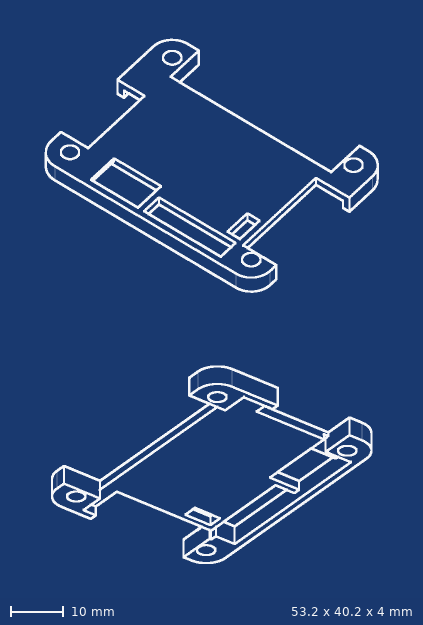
import cadquery as cq

length = 53.2
width = 40.2
height = 4.0
plate_thickness = 2.0
wall = 1.6

hole_diameter = 3.5
hole_x = 22.0
hole_y = 15.5
corner_radius = length / 2 - hole_x

left, right = -length / 2, length / 2
front, back = -width / 2, width / 2
inner_left, inner_right = left + wall, right - wall
inner_front = front + wall

back_notch_left, back_notch_right = -19.2, 19.8
back_notch_y = 11.5
left_notch_x = -20.0
left_notch_front, left_notch_back = -12.5, 4.6
right_notch_x = 18.5
right_notch_front, right_notch_back = -13.6, 8.5

wide_window_left, wide_window_right = -14.5, -3.1
wide_window_back = -11.5
long_window_left, long_window_right = -1.6, 17.0
long_window_back = -14.0
small_window_left, small_window_right = 14.0, long_window_right
small_window_front, small_window_back = -12.7, -6.7

recess_roof = 0.8


def block(x0, x1, y0, y1, z0=0.0, z1=height):
    """Axis-aligned box between the given limits."""
    return cq.Workplane("XY").box(x1 - x0, y1 - y0, z1 - z0, centered=False).translate((x0, y0, z0))


def outer_body():
    """Full-height slab with rounded corners."""
    return block(left, right, front, back).edges("|Z").fillet(corner_radius)


def underside_cavity():
    """Space below the plate, less the solid corner posts; the front right post has two steps."""
    cavity = block(inner_left, inner_right, inner_front, back, 0.0, height - plate_thickness)
    recess = block(
        left_notch_x, wide_window_left, inner_front, wide_window_back, 0.0, height - recess_roof
    )
    posts = [
        (left, back_notch_left, front, left_notch_front),
        (right_notch_x, right, front, right_notch_front),
        (long_window_right, right_notch_x, front, long_window_back),
        (left, back_notch_left, back_notch_y, back),
        (back_notch_right, right, back_notch_y, back),
    ]
    cavity = cavity.union(recess)
    for limits in posts:
        cavity = cavity.cut(block(*limits))
    return cavity


def cut_notches(body):
    """Open the back, left and right edges through the full height."""
    notches = [
        (back_notch_left, back_notch_right, back_notch_y, back),
        (left, left_notch_x, left_notch_front, left_notch_back),
        (right_notch_x, right, right_notch_front, right_notch_back),
    ]
    for limits in notches:
        body = body.cut(block(*limits))
    return body


def cut_windows(body):
    """Rectangular openings through the plate."""
    windows = [
        (wide_window_left, wide_window_right, inner_front, wide_window_back),
        (long_window_left, long_window_right, inner_front, long_window_back),
        (small_window_left, small_window_right, small_window_front, small_window_back),
    ]
    for limits in windows:
        body = body.cut(block(*limits))
    return body


def screw_holes():
    """Four through holes at the corners."""
    return (
        cq.Workplane("XY")
        .rect(2 * hole_x, 2 * hole_y, forConstruction=True)
        .vertices()
        .circle(hole_diameter / 2)
        .extrude(height)
    )


result = outer_body().cut(underside_cavity())
result = cut_notches(result)
result = cut_windows(result)
result = result.cut(screw_holes())